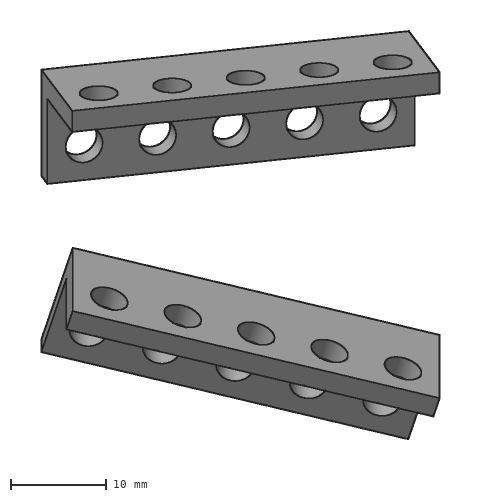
import cadquery as cq

length = 40.0
leg_width = 12.0
thickness = 2.4

hole_diameter = 4.0
hole_count = 5
hole_pitch = length / hole_count
hole_from_corner = 8.0


def angle_body():
    """L-shaped bar along Y, outer corner edge on the Y axis, legs toward +X and -Z."""
    top_leg = cq.Workplane("XY").box(leg_width, length, thickness, centered=(False, True, False))
    side_leg = cq.Workplane("XY").box(thickness, length, leg_width, centered=(False, True, False))
    return top_leg.translate((0, 0, -thickness)).union(side_leg.translate((0, 0, -leg_width)))


def hole_row(workplane, row_points):
    """Cylinders that pass right through one leg."""
    return workplane.pushPoints(row_points).circle(hole_diameter / 2).extrude(thickness)


hole_places = [(i - (hole_count - 1) / 2) * hole_pitch for i in range(hole_count)]

top_holes = hole_row(
    cq.Workplane("XY", origin=(0, 0, -thickness)),
    [(hole_from_corner, y) for y in hole_places],
)
side_holes = hole_row(
    cq.Workplane("YZ"),
    [(y, -hole_from_corner) for y in hole_places],
)

result = angle_body().cut(top_holes).cut(side_holes)